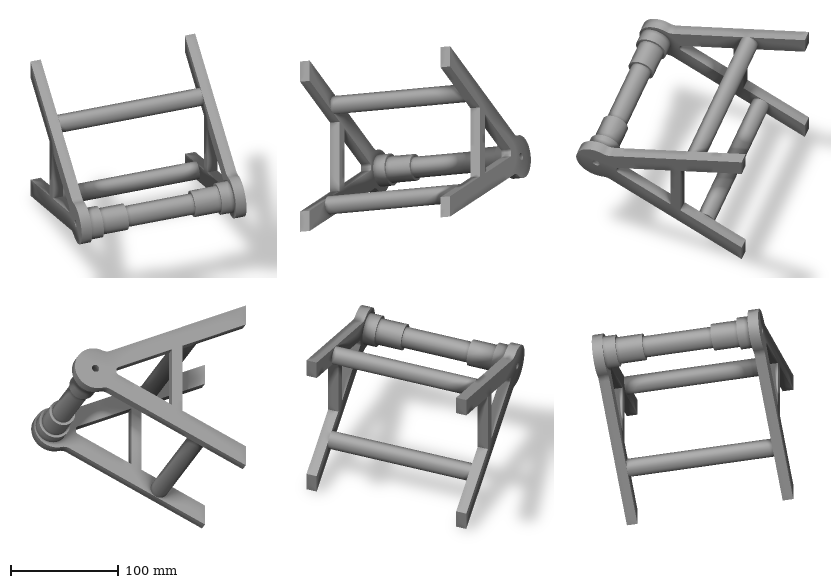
import cadquery as cq
import math


total_width = 159.0
plate_thickness = 10.0
gap = total_width - 2 * plate_thickness
front_pivot_x, front_pivot_z = -3.5, 0.25
rear_pivot_x, rear_pivot_z = 0.77, -0.25

boss_radius = 40.0 / 2
pivot_hole_diameter = 7.0
arm_end = 145.9
arm_half_spread = 80.7
arm_end_height = 19.2
arm_slope = math.tan(math.radians(25))
crossbar_start = 61.5
crossbar_thickness = 10.0
neck_radius = 20.0 / 2
crotch_x = -20.5
crotch_radius = 2.5

rod_diameter = 17.0
upper_rod_x, upper_rod_z = -94.1, 46.6
lower_rod_x, lower_rod_z = -105.0, -50.0

collar_diameter = 30.0
collar_length = 12.0
shoulder_diameter = 25.0
shoulder_length = 25.0
core_diameter = 20.0
bore_diameter = 6.5


def cylinder(x, z, diameter, length):
    """Cylinder along Y, centred on Y = 0."""
    start = cq.Workplane("XZ", origin=(0, length / 2, 0))
    return start.center(x, z).circle(diameter / 2).extrude(length)


def extrude_plate(sketch):
    return sketch.extrude(plate_thickness / 2, both=True)


def arms_with_boss():
    """Solid wedge and boss, before the openings are cut, with the pivot at the origin."""
    slope_cos = 1 / math.hypot(1, arm_slope)
    slope_sin = arm_slope * slope_cos
    edge_distance = (arm_half_spread - arm_slope * arm_end) * slope_cos
    centre_offset = edge_distance + neck_radius
    centre_reach = boss_radius + neck_radius
    along = -math.sqrt(centre_reach**2 - centre_offset**2)
    centre_x = along * slope_cos + centre_offset * slope_sin
    centre_z = -along * slope_sin + centre_offset * slope_cos
    arm_tangent = (centre_x - neck_radius * slope_sin, centre_z - neck_radius * slope_cos)
    boss_share = boss_radius / centre_reach
    boss_tangent = (centre_x * boss_share, centre_z * boss_share)
    chord_x = (arm_tangent[0] + boss_tangent[0]) / 2 - centre_x
    chord_z = (arm_tangent[1] + boss_tangent[1]) / 2 - centre_z
    sag_scale = neck_radius / math.hypot(chord_x, chord_z)
    neck_middle = (centre_x + chord_x * sag_scale, centre_z + chord_z * sag_scale)

    def mirrored(point):
        return (point[0], -point[1])

    return extrude_plate(
        cq.Workplane("XZ")
        .moveTo(-arm_end, -arm_half_spread)
        .lineTo(-arm_end, arm_half_spread)
        .lineTo(*arm_tangent)
        .threePointArc(neck_middle, boss_tangent)
        .threePointArc((boss_radius, 0), mirrored(boss_tangent))
        .threePointArc(mirrored(neck_middle), mirrored(arm_tangent))
        .close()
    )


def arm_opening():
    """Tapered space between the arms, with a narrow flat inner end and filleted corners."""
    outer_half_height = arm_half_spread - arm_end_height
    inner_half_height = outer_half_height - arm_slope * (arm_end + crotch_x)
    taper = extrude_plate(
        cq.Workplane("XZ")
        .moveTo(-arm_end, -outer_half_height)
        .lineTo(-arm_end, outer_half_height)
        .lineTo(crotch_x, inner_half_height)
        .lineTo(crotch_x, -inner_half_height)
        .close()
    )
    return taper.faces(">X").edges("|Y").fillet(crotch_radius)


def side_plate(pivot_x, centre_y, pivot_z):
    crossbar_x = -arm_end + crossbar_start + crossbar_thickness / 2
    crossbar = cq.Workplane("XY").box(crossbar_thickness, plate_thickness, 2 * arm_half_spread)
    opening = arm_opening().cut(crossbar.translate((crossbar_x, 0, 0)))
    pivot_hole = cylinder(0, 0, pivot_hole_diameter, plate_thickness)
    plate = arms_with_boss().cut(opening).cut(pivot_hole)
    return plate.translate((pivot_x, centre_y, pivot_z))


def stepped_shaft():
    """Core between two shoulders, each ending in a collar against its plate."""
    shoulder_start = gap / 2 - collar_length
    core_half_length = shoulder_start - shoulder_length
    half_profile = [
        (bore_diameter / 2, gap / 2),
        (collar_diameter / 2, gap / 2),
        (collar_diameter / 2, shoulder_start),
        (shoulder_diameter / 2, shoulder_start),
        (shoulder_diameter / 2, core_half_length),
        (core_diameter / 2, core_half_length),
    ]
    other_half = [(radius, -y) for radius, y in reversed(half_profile)]
    profile = cq.Workplane("XY").polyline(half_profile + other_half).close()
    return profile.revolve(360, (0, 0, 0), (0, 1, 0))


plate_y = (gap + plate_thickness) / 2
plate_places = ((front_pivot_x, -plate_y, front_pivot_z), (rear_pivot_x, plate_y, rear_pivot_z))
plates = [side_plate(*place) for place in plate_places]

rod_places = ((upper_rod_x, upper_rod_z), (lower_rod_x, lower_rod_z))
tie_rods = [cylinder(x, z, rod_diameter, gap) for x, z in rod_places]

shaft = stepped_shaft()

result = cq.Compound.makeCompound([body.val() for body in (*plates, *tie_rods, shaft)])